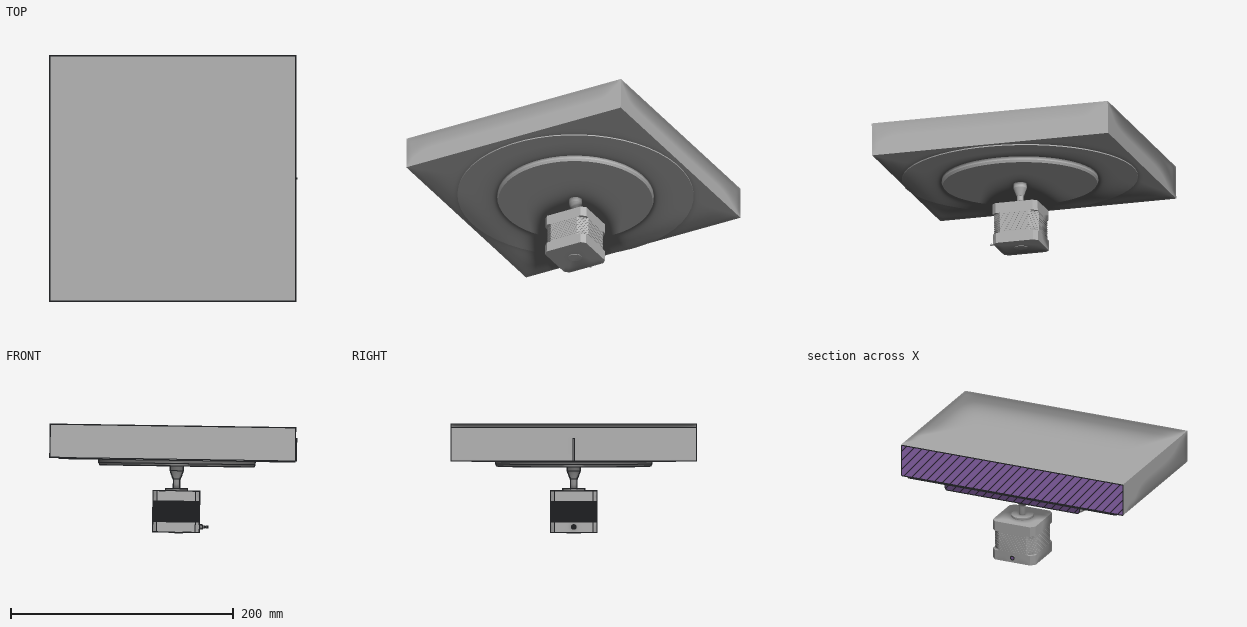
import cadquery as cq

TILT = 0.854

BOX_SIDE = 220.5
BOX_HEIGHT = 30.0
BOX_OFFSET = -4.0

BAR_HEIGHT = 20.5
BAR_WIDTH = 1.0
BAR_RELIEF = 1.05

DISC_DIAMETER = 212.0
DISC_THICKNESS = 1.0

PLATE_DIAMETER = 140.5
PLATE_RIM = 2.9
PLATE_CHAMFER_HEIGHT = 2.2
PLATE_CHAMFER_WIDTH = 1.0

COUPLING_DIAMETER = 12.0
COUPLING_COLLAR = 4.2
COUPLING_CONE = 7.3
COUPLING_TIP_DIAMETER = 6.7

SHAFT_DIAMETER = 6.0
SHAFT_EXPOSED = 8.6
SHAFT_SOCKET = 6.0
BOSS_DIAMETER = 20.0
BOSS_HEIGHT = 2.0
MOTOR_SIDE = 42.1
CAP_HEIGHT = 9.3
CAP_CHAMFER = 3.8
CORE_HEIGHT = 18.6
CORE_CHAMFER = 7.5
LAMINATIONS = 21
GROOVE_DEPTH = 0.2
PAD_DIAMETER = 12.0
PAD_HEIGHT = 0.5

PLUG_STEPS = [(4.0, 2.7), (2.0, 1.8), (1.2, 1.3), (2.0, 1.8)]
PLUG_CENTRE = 5.0

disc_bottom = -DISC_THICKNESS
plate_bottom = disc_bottom - PLATE_RIM - PLATE_CHAMFER_HEIGHT
coupling_bottom = plate_bottom - COUPLING_COLLAR - COUPLING_CONE
boss_top = coupling_bottom - SHAFT_EXPOSED
front_cap_top = boss_top - BOSS_HEIGHT
core_top = front_cap_top - CAP_HEIGHT
core_bottom = core_top - CORE_HEIGHT
rear_cap_bottom = core_bottom - CAP_HEIGHT

shaft_top = coupling_bottom + SHAFT_SOCKET
shaft_bottom = boss_top - SHAFT_SOCKET


def cylinder(diameter, bottom, height):
    """Cylinder on the motor axis."""
    return cq.Workplane("XY").workplane(offset=bottom).circle(diameter / 2).extrude(height)


def chamfered_block(side, chamfer, bottom, height):
    """Square block on the motor axis with its upright edges chamfered."""
    block = cq.Workplane("XY").workplane(offset=bottom).rect(side, side).extrude(height)
    return block.edges("|Z").chamfer(chamfer)


def make_shaft():
    return cylinder(SHAFT_DIAMETER, shaft_bottom, shaft_top - shaft_bottom)


def make_box():
    box = (
        cq.Workplane("XY")
        .center(BOX_OFFSET, 0)
        .rect(BOX_SIDE, BOX_SIDE)
        .extrude(BOX_HEIGHT)
    )
    side_x = BOX_OFFSET + BOX_SIDE / 2
    bar = (
        cq.Workplane("XY")
        .center(side_x, 0)
        .rect(2 * BAR_RELIEF, BAR_WIDTH)
        .extrude(BAR_HEIGHT)
    )
    return box.union(bar)


def make_disc():
    return cylinder(DISC_DIAMETER, disc_bottom, DISC_THICKNESS)


def make_plate():
    height = disc_bottom - plate_bottom
    plate = cylinder(PLATE_DIAMETER, plate_bottom, height)
    return plate.faces("<Z").chamfer(PLATE_CHAMFER_HEIGHT, PLATE_CHAMFER_WIDTH)


def make_coupling():
    collar_bottom = plate_bottom - COUPLING_COLLAR
    profile = [
        (0, plate_bottom),
        (COUPLING_DIAMETER / 2, plate_bottom),
        (COUPLING_DIAMETER / 2, collar_bottom),
        (COUPLING_TIP_DIAMETER / 2, coupling_bottom),
        (0, coupling_bottom),
    ]
    coupling = cq.Workplane("XZ").polyline(profile).close().revolve(360, (0, 0), (0, 1))
    return coupling.cut(make_shaft())


def make_front_cap():
    cap = chamfered_block(MOTOR_SIDE, CAP_CHAMFER, core_top, CAP_HEIGHT)
    cap = cap.union(cylinder(BOSS_DIAMETER, front_cap_top, BOSS_HEIGHT))
    return cap.cut(make_shaft())


def make_core():
    """Stack of sheets, every second one set back to leave a groove."""
    pitch = CORE_HEIGHT / LAMINATIONS
    core = chamfered_block(MOTOR_SIDE - 2 * GROOVE_DEPTH, CORE_CHAMFER, core_bottom, CORE_HEIGHT)
    for sheet in range(0, LAMINATIONS, 2):
        core = core.union(chamfered_block(MOTOR_SIDE, CORE_CHAMFER, core_bottom + sheet * pitch, pitch))
    return core


def make_rear_cap():
    cap = chamfered_block(MOTOR_SIDE, CAP_CHAMFER, rear_cap_bottom, CAP_HEIGHT)
    cap = cap.union(cylinder(PAD_DIAMETER, rear_cap_bottom - PAD_HEIGHT, PAD_HEIGHT))
    start = MOTOR_SIDE / 2
    for diameter, length in PLUG_STEPS:
        step = (
            cq.Workplane("YZ", origin=(start, 0, rear_cap_bottom + PLUG_CENTRE))
            .circle(diameter / 2)
            .extrude(length)
        )
        cap = cap.union(step)
        start += length
    return cap


bodies = [
    make_box(),
    make_disc(),
    make_plate(),
    make_coupling(),
    make_shaft(),
    make_front_cap(),
    make_core(),
    make_rear_cap(),
]
result = cq.Compound.makeCompound(
    [body.rotate((0, 0, 0), (0, 1, 0), TILT).val() for body in bodies]
)